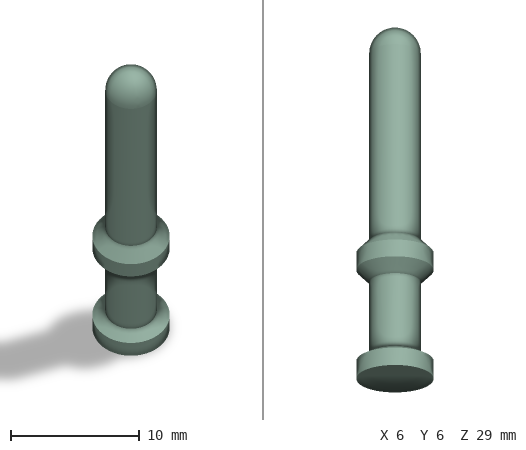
import cadquery as cq

total_height = 29.0
pin_radius = 2.0
flange_radius = 3.002

base_rim_top = 1.45
base_cone_top = 2.0

collar_bottom = 8.0
collar_rim_bottom = 9.02
collar_rim_top = 10.4
collar_top = 11.43

tip_start = total_height - pin_radius

arc_mid = pin_radius * 0.5 ** 0.5

profile = (
    cq.Workplane("XZ")
    .lineTo(flange_radius, 0)
    .lineTo(flange_radius, base_rim_top)
    .lineTo(pin_radius, base_cone_top)
    .lineTo(pin_radius, collar_bottom)
    .lineTo(flange_radius, collar_rim_bottom)
    .lineTo(flange_radius, collar_rim_top)
    .lineTo(pin_radius, collar_top)
    .lineTo(pin_radius, tip_start)
    .threePointArc((arc_mid, tip_start + arc_mid), (0, total_height))
    .close()
)

result = profile.revolve(360, (0, 0, 0), (0, 1, 0))